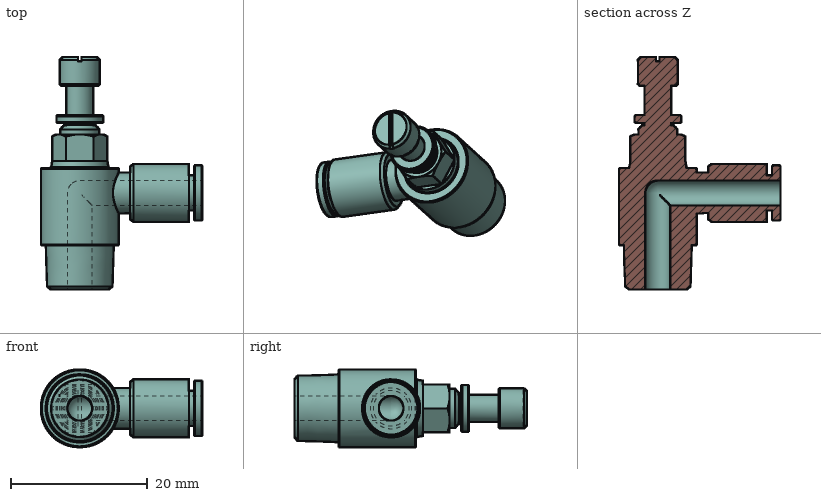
import math

import cadquery as cq


body_diameter = 11.41
body_top = 3.65
body_bottom = -7.65
body_chamfer = 0.15

thread_end = -14.13
thread_root_diameter = 9.97
thread_tip_diameter = 9.6
thread_chamfer_length = 0.5
thread_chamfer_depth = 0.6

bore_diameter = 3.6

collar_top = 4.65
collar_top_diameter = 8.1
collar_bottom_diameter = 8.4
collar_foot_diameter = 8.6
collar_foot_height = 0.12

hex_across_flats = 7.0
hex_across_corners = hex_across_flats / math.cos(math.radians(30))
hex_top = 8.56
hex_chamfer_angle = 30

shoulder_diameter = 5.75
shoulder_top = 9.9
shoulder_chamfer = 0.6

stem_diameter = 4.0
ring_diameter = 6.87
ring_bottom = 10.2
ring_top = 11.4
ring_chamfer = 0.2
head_diameter = 5.88
head_bottom = 15.65
overall_length = 34.0
head_top = thread_end + overall_length
head_top_chamfer = 0.45
head_bottom_chamfer = 0.25
slot_width = 0.5
slot_depth = 0.6

overall_width = 23.66
branch_end = overall_width - body_diameter / 2
branch_neck_diameter = 6.0
socket_start = 7.35
socket_end = 15.95
socket_diameter = 8.5
socket_chamfer_length = 0.5
socket_chamfer_depth = 0.4
sleeve_diameter = 5.2
release_start = 16.65
release_diameter = 8.1
release_chamfer = 0.2


def rod(diameter, y_start, y_end):
    """Cylinder on the main axis."""
    return (
        cq.Workplane("XZ", origin=(0, y_start, 0))
        .circle(diameter / 2)
        .extrude(y_start - y_end)
    )


def branch_rod(diameter, x_start, x_end):
    """Cylinder on the branch axis."""
    return (
        cq.Workplane("YZ", origin=(x_start, 0, 0))
        .circle(diameter / 2)
        .extrude(x_end - x_start)
    )


def turned(profile):
    """Revolve an open (radius, y) profile, closed along the main axis."""
    first_y = profile[0][1]
    last_y = profile[-1][1]
    outline = [(0, first_y)] + profile + [(0, last_y)]
    return cq.Workplane("XY").polyline(outline).close().revolve(360, (0, 0, 0), (0, 1, 0))


def make_body():
    return rod(body_diameter, body_bottom, body_top).edges().chamfer(body_chamfer)


def make_thread():
    tip_radius = thread_tip_diameter / 2
    return turned([
        (thread_root_diameter / 2, body_bottom),
        (tip_radius, thread_end + thread_chamfer_length),
        (tip_radius - thread_chamfer_depth, thread_end),
    ])


def make_collar():
    return turned([
        (collar_foot_diameter / 2, body_top),
        (collar_bottom_diameter / 2, body_top + collar_foot_height),
        (collar_top_diameter / 2, collar_top),
    ])


def make_hex():
    """Hexagon with corners on the X axis, its upper corners cut by a cone."""
    prism = (
        cq.Workplane("XZ", origin=(0, collar_top, 0))
        .polygon(6, hex_across_corners)
        .extrude(collar_top - hex_top)
    )
    flat_radius = hex_across_flats / 2
    corner_radius = hex_across_corners / 2
    chamfer_drop = (corner_radius - flat_radius) * math.tan(math.radians(hex_chamfer_angle))
    envelope = turned([
        (corner_radius, collar_top),
        (corner_radius, hex_top - chamfer_drop),
        (flat_radius, hex_top),
    ])
    return prism.intersect(envelope)


def make_shoulder():
    return rod(shoulder_diameter, hex_top, shoulder_top).faces(">Y").chamfer(shoulder_chamfer)


def make_needle():
    stem = rod(stem_diameter, shoulder_top, head_bottom)
    ring = rod(ring_diameter, ring_bottom, ring_top).edges().chamfer(ring_chamfer)
    head = (
        rod(head_diameter, head_bottom, head_top)
        .faces(">Y").chamfer(head_top_chamfer)
        .faces("<Y").chamfer(head_bottom_chamfer)
    )
    slot = (
        cq.Workplane("XY")
        .box(slot_width, slot_depth, head_diameter, centered=(True, False, True))
        .translate((0, head_top - slot_depth, 0))
    )
    return stem.union(ring).union(head.cut(slot))


def make_branch():
    neck = branch_rod(branch_neck_diameter, 0, socket_start)
    socket = (
        branch_rod(socket_diameter, socket_start, socket_end)
        .faces("<X").chamfer(socket_chamfer_length, socket_chamfer_depth)
    )
    sleeve = branch_rod(sleeve_diameter, socket_end, release_start)
    release_ring = branch_rod(release_diameter, release_start, branch_end).edges().chamfer(release_chamfer)
    return neck.union(socket).union(sleeve).union(release_ring)


def make_elbow_bore():
    """Bore from the threaded end to the branch end, with a ball-shaped turn."""
    inlet = rod(bore_diameter, thread_end, 0)
    turn = cq.Workplane("XY").sphere(bore_diameter / 2)
    outlet = branch_rod(bore_diameter, 0, branch_end)
    return inlet.union(turn).union(outlet)


result = make_body()
for section in (make_thread(), make_collar(), make_hex(), make_shoulder(), make_needle(), make_branch()):
    result = result.union(section)
result = result.cut(make_elbow_bore())